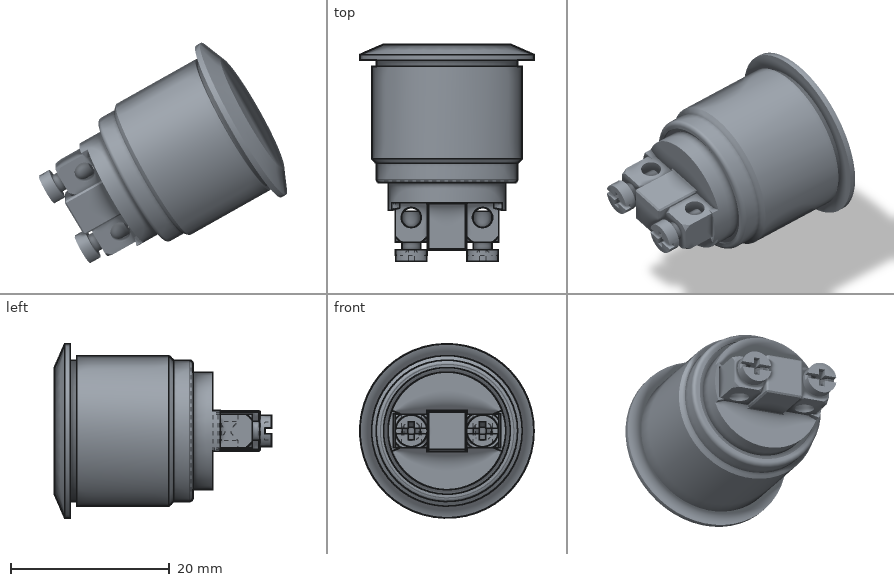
import cadquery as cq
import math


flange_diameter = 22.0
head_face_diameter = 16.0
flange_rim_thickness = 0.7
head_height = 2.0

barrel_diameter = 19.0
relief_diameter = 17.85
relief_length = 0.8
barrel_chamfer_start = -12.45
barrel_end = -15.5
barrel_end_fillet = 0.5
rear_bore_diameter = 16.0
rear_bore_depth = 0.3

insert_diameter = 14.85
insert_end = -18.0

tab_height = 0.95
tab_half_angle = 22.5
tab_apex_offset = 0.75
tab_end_slope = 15.0
tab_pocket_wall = 6.8
tab_pocket_height = 4.3

block_width = 5.0
block_height = 5.1
block_end = -24.0
block_chamfer = 0.2
block_flare = 0.07
block_flare_height = 0.15

terminal_spacing = 9.0
terminal_width = 4.1
terminal_height = 4.2
terminal_end = -22.95
terminal_corner_cone_diameter = 4.95
terminal_corner_slope = 58.0
wire_hole_diameter = 2.5
wire_hole_position = -19.87

screw_shank_diameter = 2.4
screw_tip = -19.05
screw_head_diameter = 4.0
screw_head_start = -23.9
screw_end = -25.4
slot_width = 0.7
slot_depth = 0.8
cross_span = 2.3
cross_width = 0.8
cross_floor_span = 0.9
cross_taper_angle = 45.0


def revolve_about_y(points):
    """Turn an (r, y) outline about the Y axis."""
    return cq.Workplane("XY").polyline(points).close().revolve(360, (0, 0, 0), (0, 1, 0))


def cylinder_along_y(diameter, y_start, y_end):
    """Solid cylinder on the Y axis between two Y positions."""
    plane = cq.Workplane("XZ", origin=(0, y_start, 0))
    return plane.circle(diameter / 2).extrude(y_start - y_end)


def box_along_y(width, height, y_start, y_end):
    """Box centred on the Y axis between two Y positions."""
    plane = cq.Workplane("XZ", origin=(0, y_start, 0))
    return plane.rect(width, height).extrude(y_start - y_end)


def make_housing():
    """Head, barrel and rear collar with the annular recess around the insert."""
    barrel_r = barrel_diameter / 2
    relief_r = relief_diameter / 2
    flange_r = flange_diameter / 2
    chamfer = barrel_r - relief_r
    outline = [
        (0, head_height),
        (head_face_diameter / 2, head_height),
        (flange_r, flange_rim_thickness),
        (flange_r, 0),
        (relief_r, 0),
        (relief_r, -relief_length),
        (barrel_r, -relief_length),
        (barrel_r, barrel_chamfer_start),
        (relief_r, barrel_chamfer_start - chamfer),
        (relief_r, barrel_end),
        (0, barrel_end),
    ]
    housing = revolve_about_y(outline).faces("<Y").edges().fillet(barrel_end_fillet)
    return housing.cut(cylinder_along_y(rear_bore_diameter, barrel_end + rear_bore_depth, barrel_end))


def make_tab(side):
    """Wedge-shaped edge tab with a conical end face, pocketed for the terminal."""
    insert_r = insert_diameter / 2
    tab_end = insert_end - tab_height
    reach = insert_diameter
    half_width = reach * math.tan(math.radians(tab_half_angle))
    apex = side * tab_apex_offset
    tip_x = side * (tab_apex_offset + reach)
    wedge = (
        cq.Workplane("XZ", origin=(0, insert_end, 0))
        .polyline([(apex, 0), (tip_x, half_width), (tip_x, -half_width)])
        .close()
        .extrude(tab_height)
    )
    cone_rise = insert_r * math.tan(math.radians(tab_end_slope))
    envelope = revolve_about_y(
        [(0, 0), (insert_r, 0), (insert_r, tab_end), (0, tab_end + cone_rise)]
    )
    pocket = box_along_y(2 * tab_pocket_wall, tab_pocket_height, insert_end, tab_end)
    return wedge.intersect(envelope).cut(pocket)


def make_block():
    """Centre block with chamfered edges and a slightly flared base."""
    block = box_along_y(block_width, block_height, insert_end, block_end)
    block = block.edges("|Y or <Y").chamfer(block_chamfer)
    base = (
        cq.Workplane("XZ", origin=(0, insert_end, 0))
        .rect(block_width + 2 * block_flare, block_height + 2 * block_flare)
        .workplane(offset=block_flare_height)
        .rect(block_width, block_height)
        .loft(ruled=True)
    )
    return block.union(base)


def make_terminal(x):
    """Clamp with cone-trimmed rear corners and a vertical wire hole."""
    clamp = box_along_y(terminal_width, terminal_height, insert_end, terminal_end)
    end_r = terminal_corner_cone_diameter / 2
    length = insert_end - terminal_end
    wide_r = end_r + length / math.tan(math.radians(terminal_corner_slope))
    cone = revolve_about_y(
        [(0, insert_end), (wide_r, insert_end), (end_r, terminal_end), (0, terminal_end)]
    )
    wire_hole = (
        cq.Workplane("XY", origin=(0, wire_hole_position, 0))
        .circle(wire_hole_diameter / 2)
        .extrude(terminal_height, both=True)
    )
    return clamp.intersect(cone).cut(wire_hole).translate((x, 0, 0))


def make_recess_arm(length_x, length_z, floor_length_x, floor_length_z):
    """One bar of the cross recess: straight down to the slot floor, then tapered at its ends."""
    slot_floor = screw_end + slot_depth
    taper_depth = (cross_span - cross_floor_span) / 2 / math.tan(math.radians(cross_taper_angle))
    straight = box_along_y(length_x, length_z, slot_floor, screw_end)
    tapered = (
        cq.Workplane("XZ", origin=(0, slot_floor, 0))
        .rect(length_x, length_z)
        .workplane(offset=-taper_depth)
        .rect(floor_length_x, floor_length_z)
        .loft(ruled=True)
    )
    return straight.union(tapered)


def make_screw(x):
    """Screw with a combined straight slot and cross recess."""
    shank = cylinder_along_y(screw_shank_diameter, screw_tip, screw_head_start)
    head = cylinder_along_y(screw_head_diameter, screw_head_start, screw_end)
    slot = box_along_y(screw_head_diameter, slot_width, screw_end + slot_depth, screw_end)
    upright_arm = make_recess_arm(cross_width, cross_span, cross_width, cross_floor_span)
    level_arm = make_recess_arm(cross_span, slot_width, cross_floor_span, slot_width)
    screw = shank.union(head).cut(slot).cut(upright_arm).cut(level_arm)
    return screw.translate((x, 0, 0))


body = make_housing()
body = body.union(cylinder_along_y(insert_diameter, barrel_end + rear_bore_depth, insert_end))
body = body.union(make_block())
for side in (-1, 1):
    terminal_x = side * terminal_spacing / 2
    body = body.union(make_tab(side))
    body = body.union(make_terminal(terminal_x))
    body = body.union(make_screw(terminal_x))

result = body